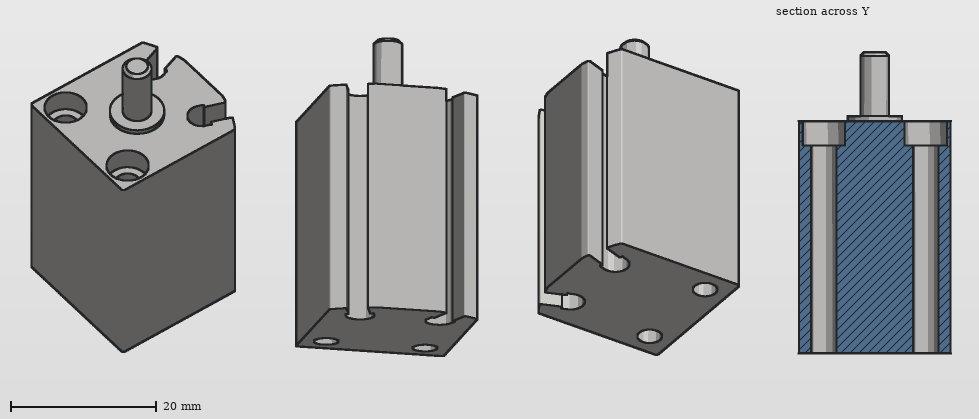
import cadquery as cq
import math

width = 21.0
depth = 22.0
total_height = 41.5
body_height = 32.0
side_x = width / 2
front_y = -width / 2
back_y = front_y + depth
corner_radius = 0.4

crown_radius = 20.0
flat_half_width = 4.3
crown_center_y = back_y - math.sqrt(crown_radius**2 - flat_half_width**2)

slot_x = 5.65
slot_y = 6.85
slot_tilt = 20.0
slot_diameter = 3.9
slot_mouth_width = 3.0
slot_shoulder = 0.9
slot_mouth_reach = 8.3
slot_lip_radius = 0.2

hole_offset = 7.0
hole_diameter = 3.4
counterbore_diameter = 5.8
counterbore_depth = 3.3

collar_diameter = 7.5
collar_height = 0.7
rod_diameter = 4.0
rod_chamfer = 0.5


def crown_point(x):
    """Point of the crown arc at the given X."""
    return (x, crown_center_y + math.sqrt(crown_radius**2 - x**2))


def make_block():
    """Extruded block with a crowned back face and rounded outer edges."""
    crown_mid_x = (flat_half_width + side_x) / 2
    block = (
        cq.Workplane("XY")
        .moveTo(-side_x, front_y)
        .lineTo(side_x, front_y)
        .lineTo(*crown_point(side_x))
        .threePointArc(crown_point(crown_mid_x), (flat_half_width, back_y))
        .lineTo(-flat_half_width, back_y)
        .threePointArc(crown_point(-crown_mid_x), crown_point(-side_x))
        .close()
        .extrude(body_height)
    )
    outer_edges = block.edges("|Z and (<X or >X)")
    return outer_edges.fillet(corner_radius)


def make_slot_cutter(side):
    """Full-height slot; side is -1 for the left slot and +1 for the right one."""
    radius = slot_diameter / 2
    mouth = slot_mouth_width / 2
    return (
        cq.Workplane("XY")
        .moveTo(-radius, 0)
        .threePointArc((0, -radius), (radius, 0))
        .lineTo(radius, slot_shoulder)
        .lineTo(mouth, slot_shoulder)
        .lineTo(mouth, slot_mouth_reach)
        .lineTo(-mouth, slot_mouth_reach)
        .lineTo(-mouth, slot_shoulder)
        .lineTo(-radius, slot_shoulder)
        .close()
        .extrude(body_height)
        .rotate((0, 0, 0), (0, 0, 1), -side * slot_tilt)
        .translate((side * slot_x, slot_y, 0))
    )


def lip_selector(side, wall):
    """Picks the edge where one mouth wall meets the crown; wall is -1 or +1."""
    tilt = math.radians(side * slot_tilt)
    axis_x, axis_y = math.sin(tilt), math.cos(tilt)
    start_x = side * slot_x + wall * axis_y * slot_mouth_width / 2
    start_y = slot_y - wall * axis_x * slot_mouth_width / 2 - crown_center_y
    along = start_x * axis_x + start_y * axis_y
    reach = math.sqrt(along**2 + crown_radius**2 - start_x**2 - start_y**2) - along
    lip_x, lip_y = crown_point(start_x + reach * axis_x)
    return cq.selectors.NearestToPointSelector((lip_x, lip_y, body_height / 2))


def make_housing():
    """Block with slots, mounting holes and the collar on its upper face."""
    housing = make_block()
    for side in (-1, 1):
        housing = housing.cut(make_slot_cutter(side))
    for side in (-1, 1):
        for wall in (-1, 1):
            lip = housing.edges("|Z").edges(lip_selector(side, wall))
            housing = lip.fillet(slot_lip_radius)
    top_plane = cq.Workplane("XY", origin=(0, 0, body_height))
    collar = top_plane.circle(collar_diameter / 2).extrude(collar_height)
    hole_places = [(-hole_offset, -hole_offset), (hole_offset, -hole_offset)]
    holes = top_plane.pushPoints(hole_places).circle(hole_diameter / 2).extrude(-body_height)
    counterbores = (
        top_plane.pushPoints(hole_places)
        .circle(counterbore_diameter / 2)
        .extrude(-counterbore_depth)
    )
    return housing.union(collar).cut(holes).cut(counterbores)


def make_rod():
    """Plain rod resting on the collar, chamfered at its free end."""
    rod_bottom = body_height + collar_height
    return (
        cq.Workplane("XY", origin=(0, 0, rod_bottom))
        .circle(rod_diameter / 2)
        .extrude(total_height - rod_bottom)
        .faces(">Z")
        .chamfer(rod_chamfer)
    )


housing = make_housing()
rod = make_rod()

result = cq.Compound.makeCompound([housing.solids().val(), rod.val()])